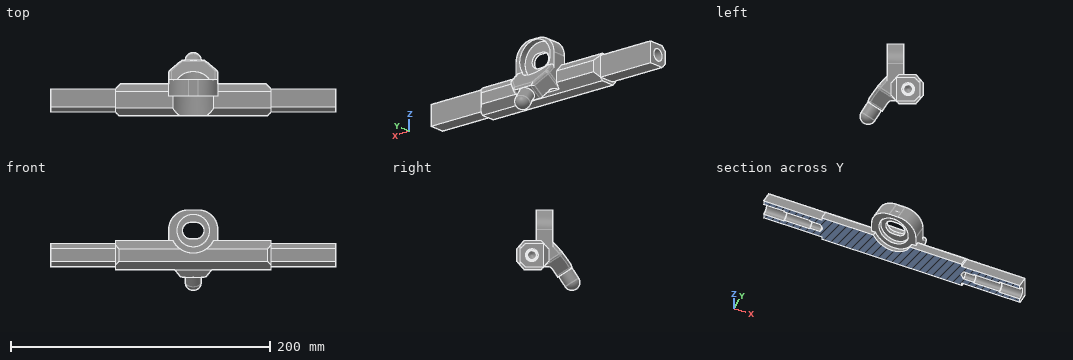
import cadquery as cq
import math

total_length = 220.0
total_height = 62.3

bar_length = 120.1
bar_front = -11.9
bar_back = 13.0
bar_height = 22.7
bar_chamfer_y = 6.0
bar_chamfer_z = 6.5

end_size = 18.0
end_chamfer = 4.0

bore_diameter = 6.8
middle_diameter = 8.1
mouth_diameter = 10.0
bore_depth = 48.5
middle_depth = 39.5
mouth_depth = 17.5
drill_tip_angle = 118.0

lug_width = 38.0
lug_front = 3.3
lug_thickness = 12.8
lug_top = 35.0
eye_height = 19.0
eye_wall = 3.0
front_recess_diameter = 25.0
front_recess_depth = 3.0
rear_recess_diameter = 30.5
lug_corner_radius = rear_recess_diameter / 2
slot_length = 16.5
slot_height = 12.5
bar_relief_radius = 17.4

pin_diameter = 12.5
pin_straight = 9.2
ball_y = 30.8
ball_z = lug_top - total_height + pin_diameter / 2

arm_angle = 57.0
arm_thickness = 14.0
arm_bottom = -9.0
elbow_radius = 4.0
arm_back_top = 10.1
arm_back_radius = 88.0
bevel_length = 3.3
bevel_drop = 0.7
slant_length = 13.6
slant_width = 9.5
slant_edge_radius = 2.9
back_edge_radius = 2.5

lug_back = lug_front + lug_thickness
overlap = 2.2

along_y = math.cos(math.radians(arm_angle))
along_z = -math.sin(math.radians(arm_angle))
out_y = -along_z
out_z = along_y


def arm_point(from_end, outward):
    """(Y, Z) of a point measured back from the arm's end face and out from the pin axis."""
    along = -pin_straight - from_end
    return (
        ball_y + along * along_y + outward * out_y,
        ball_z + along * along_z + outward * out_z,
    )


def nearest(point):
    return cq.selectors.NearestToPointSelector(point)


def bar_body():
    """Octagonal bar whose ends taper in plan to the width of the square ends."""
    half_width = (bar_back - bar_front) / 2
    half_height = bar_height / 2
    half_length = bar_length / 2
    flat_y = half_width - bar_chamfer_y
    flat_z = half_height - bar_chamfer_z
    octagon = (
        cq.Workplane("YZ", origin=(0, (bar_front + bar_back) / 2, 0))
        .polyline([
            (-half_width, -flat_z), (-flat_y, -half_height),
            (flat_y, -half_height), (half_width, -flat_z),
            (half_width, flat_z), (flat_y, half_height),
            (-flat_y, half_height), (-half_width, flat_z),
        ])
        .close()
        .extrude(half_length, both=True)
    )
    end_half = end_size / 2
    front_x = half_length - (-end_half - bar_front)
    back_x = half_length - (bar_back - end_half)
    plan = (
        cq.Workplane("XY")
        .polyline([
            (-half_length, -end_half), (-front_x, bar_front),
            (front_x, bar_front), (half_length, -end_half),
            (half_length, end_half), (back_x, bar_back),
            (-back_x, bar_back), (-half_length, end_half),
        ])
        .close()
        .extrude(bar_height, both=True)
    )
    return octagon.intersect(plan)


def square_ends():
    return (
        cq.Workplane("XY")
        .box(total_length, end_size, end_size)
        .edges("|X and <Y")
        .chamfer(end_chamfer)
    )


def bore():
    """Bore of the -X end: three narrowing steps and a drill point."""
    bore_radius = bore_diameter / 2
    middle_radius = middle_diameter / 2
    mouth_radius = mouth_diameter / 2
    point_length = bore_radius / math.tan(math.radians(drill_tip_angle / 2))
    return (
        cq.Workplane("XY", origin=(-total_length / 2, 0, 0))
        .polyline([
            (0, 0),
            (0, mouth_radius),
            (mouth_depth, mouth_radius),
            (mouth_depth, middle_radius),
            (middle_depth, middle_radius),
            (middle_depth, bore_radius),
            (bore_depth, bore_radius),
            (bore_depth + point_length, 0),
        ])
        .close()
        .revolve(360, (0, 0, 0), (1, 0, 0))
    )


def lug():
    """Plate from the bar axis level upwards, with rounded top corners."""
    return (
        cq.Workplane("XY", origin=(0, lug_front, 0))
        .box(lug_width, lug_thickness, lug_top, centered=(True, False, False))
        .edges("|Y and >Z")
        .fillet(lug_corner_radius)
    )


def eye_plane(y):
    return cq.Workplane("XZ", origin=(0, y, eye_height))


def eye_cylinder(radius, y_min, y_max):
    return eye_plane(y_max).circle(radius).extrude(y_max - y_min)


def eye_slot():
    return eye_plane(lug_back).slot2D(slot_length, slot_height).extrude(lug_thickness)


def arm_profile():
    """Side shape of the arm at full width, with a gently crowned back."""
    half_thickness = arm_thickness / 2
    end_low = arm_point(0, -half_thickness)
    end_back = arm_point(0, half_thickness - bevel_drop)
    bevel_top = arm_point(bevel_length, half_thickness)
    elbow_y = end_low[0] + (arm_bottom - end_low[1]) * along_y / along_z
    return (
        cq.Workplane("YZ")
        .moveTo(lug_front, arm_bottom)
        .lineTo(elbow_y, arm_bottom)
        .lineTo(*end_low)
        .lineTo(*end_back)
        .lineTo(*bevel_top)
        .radiusArc((lug_back, arm_back_top), -arm_back_radius)
        .lineTo(lug_front, arm_back_top)
        .close()
        .extrude(lug_width / 2, both=True)
        .edges(nearest((0, elbow_y, arm_bottom)))
        .fillet(elbow_radius)
    )


def arm_outline():
    """Shape of the arm seen square to its back: slanted towards the end, corners rounded."""
    half_width = lug_width / 2
    half_end = half_width - slant_width
    root = -2 * lug_width
    plane = cq.Plane(origin=(0, *arm_point(0, 0)), xDir=(1, 0, 0), normal=(0, out_y, out_z))
    outline = (
        cq.Workplane(plane)
        .polyline([
            (-half_width, root), (-half_width, -slant_length), (-half_end, 0),
            (half_end, 0), (half_width, -slant_length), (half_width, root),
        ])
        .close()
        .extrude(lug_width, both=True)
    )
    for side in (-1, 1):
        for x, from_end in ((half_width, slant_length), (half_end, 0)):
            corner = (side * x, *arm_point(from_end, 0))
            outline = outline.edges(nearest(corner)).fillet(slant_edge_radius)
    return outline


def arm():
    body = arm_profile().intersect(arm_outline())
    straight_top = arm_point(slant_length, arm_thickness / 2)
    rim_y = (lug_back + straight_top[0]) / 2
    rim_z = (arm_back_top + straight_top[1]) / 2
    for side in (-1, 1):
        rim = (side * lug_width / 2, rim_y, rim_z)
        body = body.edges(nearest(rim)).fillet(back_edge_radius)
    return body


def pin():
    root = arm_point(overlap, 0)
    plane = cq.Plane(origin=(0, *root), xDir=(1, 0, 0), normal=(0, along_y, along_z))
    shank = cq.Workplane(plane).circle(pin_diameter / 2).extrude(pin_straight + overlap)
    ball = cq.Workplane("XY").sphere(pin_diameter / 2).translate((0, ball_y, ball_z))
    return shank.union(ball)


recess_floor = lug_front + front_recess_depth

result = bar_body().union(square_ends())
result = result.cut(eye_cylinder(bar_relief_radius, bar_front - overlap, lug_front))
result = result.union(lug()).union(arm()).union(pin())

result = result.cut(bore()).cut(bore().mirror("YZ"))
result = result.cut(eye_cylinder(front_recess_diameter / 2, lug_front, recess_floor))
result = result.cut(eye_cylinder(rear_recess_diameter / 2, recess_floor + eye_wall, ball_y))
result = result.cut(eye_slot())